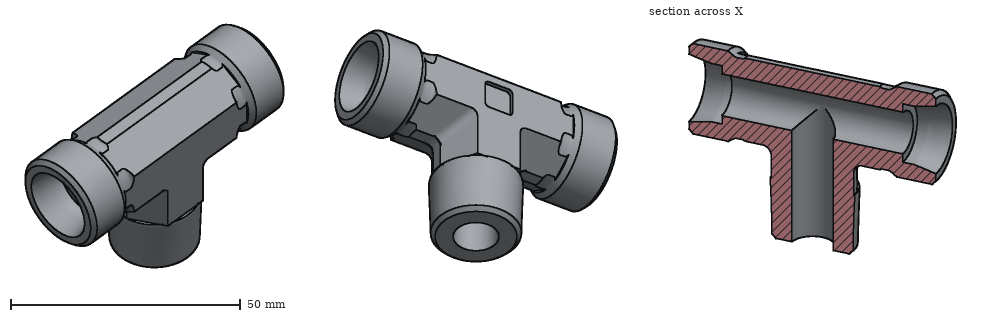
import cadquery as cq
import math


across_flats = 19.0
trimmed_corner_height = 10.1
run_length = 60.0
collar_diameter = 22.0
collar_chamfer = 1.0
collar_cone_start = 20.5
collar_cone_foot = 19.05
cone_foot_radius = 10.05

relief_radius = 9.85
relief_floor_start = 17.1
relief_fillet = 1.15

bore_diameter = 10.0
socket_diameter = 14.0
socket_depth = 8.0
mouth_diameter = 16.3
mouth_half_angle = 12.0

branch_length = 32.0
spigot_top_depth = 17.45
spigot_diameter = 20.66
spigot_bevel_height = 0.6
spigot_bevel_inset = 0.1
spigot_taper = 1 / 32
spigot_chamfer = 1.0
junction_fillet = 2.0

recess_size = 7.0
recess_corner_radius = 1.0
recess_depth = 1.0

half_flats = across_flats / 2
half_run = run_length / 2
collar_radius = collar_diameter / 2
relief_start = relief_floor_start - relief_fillet


def hexagon_outline(workplane):
    """Hexagon with two flats facing +-X and its two corners on the other axis cut flat."""
    side_corner = half_flats / math.sqrt(3)
    tip_half_width = (2 * side_corner - trimmed_corner_height) * math.sqrt(3)
    return workplane.polyline([
        (half_flats, -side_corner),
        (half_flats, side_corner),
        (tip_half_width, trimmed_corner_height),
        (-tip_half_width, trimmed_corner_height),
        (-half_flats, side_corner),
        (-half_flats, -side_corner),
        (-tip_half_width, -trimmed_corner_height),
        (tip_half_width, -trimmed_corner_height),
    ]).close()


def make_tee_bars():
    """Run and branch bars joined, with the valleys between them filleted."""
    run = hexagon_outline(cq.Workplane("XZ")).extrude(relief_start, both=True)
    branch = hexagon_outline(cq.Workplane("XY")).extrude(-spigot_top_depth)
    tee = run.union(branch)

    tolerance = 0.01

    def in_valley(edge):
        ends = (edge.startPoint(), edge.endPoint())
        return all(abs(abs(point.y) + point.z) < tolerance for point in ends)

    valleys = [edge for edge in tee.edges().vals() if in_valley(edge)]
    return tee.newObject(valleys).fillet(junction_fillet)


def make_turned_end():
    """Round outline of the +Y run end: relief, cone, collar and end chamfer."""
    cone_angle = math.atan2(collar_radius - cone_foot_radius, collar_cone_start - collar_cone_foot)
    floor_end = collar_cone_foot - relief_fillet * math.sin(cone_angle)
    arc_centre_radius = relief_radius + relief_fillet

    def relief_arc_point(centre_y, angle):
        """Point on a relief fillet, at an angle from its lowest point towards +Y."""
        return (
            arc_centre_radius - relief_fillet * math.cos(angle),
            centre_y + relief_fillet * math.sin(angle),
        )

    profile = (
        cq.Workplane("XY")
        .moveTo(0, relief_start)
        .lineTo(arc_centre_radius, relief_start)
        .threePointArc(
            relief_arc_point(relief_floor_start, -math.pi / 4),
            (relief_radius, relief_floor_start),
        )
        .lineTo(relief_radius, floor_end)
        .threePointArc(
            relief_arc_point(floor_end, cone_angle / 2),
            relief_arc_point(floor_end, cone_angle),
        )
        .lineTo(collar_radius, collar_cone_start)
        .lineTo(collar_radius, half_run - collar_chamfer)
        .lineTo(collar_radius - collar_chamfer, half_run)
        .lineTo(0, half_run)
        .close()
    )
    return profile.revolve(360, (0, 0, 0), (0, 1, 0))


def make_run_end():
    """The +Y run end: hexagonal up to the foot of the cone, round beyond it."""
    hexagon = hexagon_outline(cq.Workplane("XZ", origin=(0, relief_start, 0)))
    bar = hexagon.extrude(relief_start - collar_cone_foot)
    collar_blank = (
        cq.Workplane("XZ", origin=(0, collar_cone_foot, 0))
        .circle(collar_radius)
        .extrude(collar_cone_foot - half_run)
    )
    return bar.union(collar_blank).intersect(make_turned_end())


def make_spigot():
    """Tapered round end of the branch, bevelled at the top and chamfered at the bottom."""
    top_radius = spigot_diameter / 2
    widest_depth = spigot_top_depth + spigot_bevel_height
    chamfer_depth = branch_length - spigot_chamfer
    end_radius = top_radius - (chamfer_depth - widest_depth) * spigot_taper
    return (
        cq.Workplane("XZ")
        .moveTo(0, -spigot_top_depth)
        .lineTo(top_radius - spigot_bevel_inset, -spigot_top_depth)
        .lineTo(top_radius, -widest_depth)
        .lineTo(end_radius, -chamfer_depth)
        .lineTo(end_radius - spigot_chamfer, -branch_length)
        .lineTo(0, -branch_length)
        .close()
        .revolve(360, (0, 0, 0), (0, 1, 0))
    )


def make_socket():
    """Tube socket cut from the +Y end: conical mouth, then a straight seat."""
    socket_radius = socket_diameter / 2
    mouth_radius = mouth_diameter / 2
    mouth_depth = (mouth_radius - socket_radius) / math.tan(math.radians(mouth_half_angle))
    return (
        cq.Workplane("XY")
        .moveTo(0, half_run)
        .lineTo(mouth_radius, half_run)
        .lineTo(socket_radius, half_run - mouth_depth)
        .lineTo(socket_radius, half_run - socket_depth)
        .lineTo(0, half_run - socket_depth)
        .close()
        .revolve(360, (0, 0, 0), (0, 1, 0))
    )


def make_bores():
    """Bore through the run and the bore of the branch that meets it."""
    bore_radius = bore_diameter / 2
    run_bore = cq.Workplane("XZ").circle(bore_radius).extrude(half_run, both=True)
    branch_bore = cq.Workplane("XY").circle(bore_radius).extrude(-branch_length)
    return run_bore.union(branch_bore)


def make_recess():
    """Square pocket with rounded corners in the -X flat."""
    return (
        cq.Workplane("YZ", origin=(-half_flats, 0, 0))
        .rect(recess_size, recess_size)
        .extrude(recess_depth)
        .edges("|X")
        .fillet(recess_corner_radius)
    )


run_end = make_run_end()
socket = make_socket()

body = make_tee_bars().union(make_spigot())
body = body.union(run_end).union(run_end.mirror("XZ"))
body = body.cut(make_bores())
body = body.cut(socket).cut(socket.mirror("XZ"))
body = body.cut(make_recess())

result = body.clean()